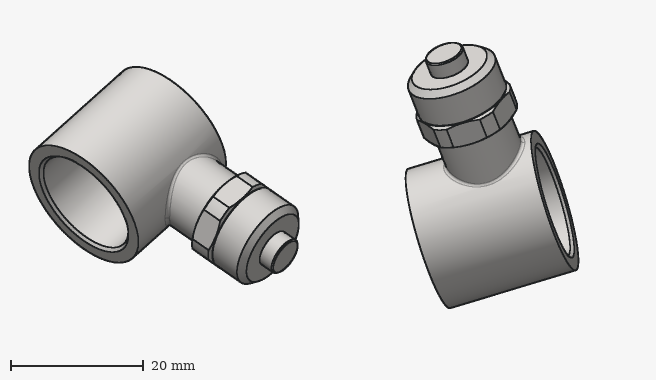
import cadquery as cq
import math

sleeve_diameter = 22.0
sleeve_length = 20.0
bore_diameter = 17.0
bore_chamfer = 0.5

overall_length = 40.5
fitting_offset_y = 2.5
neck_diameter = 12.0
neck_fillet = 0.5
nut_sides = 6
nut_start = 16.93
nut_width = 4.0
nut_across_flats = 14.0
nut_corner_diameter = 15.0
nut_face_diameter = 13.7
nut_chamfer_angle = 30.0
body_diameter = nut_across_flats
body_end = 26.95
body_chamfer = 1.0
tip_diameter = 6.0
tip_end = overall_length - sleeve_diameter / 2
tip_chamfer = 0.2


def fitting_plane(x):
    """Workplane square to the fitting axis at distance x from the sleeve axis."""
    return cq.Workplane("YZ", origin=(x, fitting_offset_y, 0))


def make_sleeve():
    return (
        cq.Workplane("XZ")
        .circle(sleeve_diameter / 2)
        .extrude(sleeve_length / 2, both=True)
    )


def make_neck():
    return fitting_plane(0).circle(neck_diameter / 2).extrude(nut_start)


def make_nut():
    """Hexagon with flats facing +Z and -Z, its corners rounded and end edges coned."""
    across_corners = nut_across_flats / math.cos(math.pi / nut_sides)
    hexagon = fitting_plane(nut_start).polygon(nut_sides, across_corners).extrude(nut_width)
    chamfer_depth = (nut_corner_diameter - nut_face_diameter) / 2
    chamfer_length = chamfer_depth * math.tan(math.radians(nut_chamfer_angle))
    envelope = (
        fitting_plane(nut_start)
        .circle(nut_corner_diameter / 2)
        .extrude(nut_width)
        .faces("<X or >X")
        .chamfer(chamfer_length, chamfer_depth)
    )
    return hexagon.intersect(envelope)


def make_body():
    body_start = nut_start + nut_width
    return (
        fitting_plane(body_start)
        .circle(body_diameter / 2)
        .extrude(body_end - body_start)
        .faces(">X")
        .chamfer(body_chamfer)
    )


def make_tip():
    return (
        fitting_plane(body_end)
        .circle(tip_diameter / 2)
        .extrude(tip_end - body_end)
        .faces(">X")
        .chamfer(tip_chamfer)
    )


def make_bore():
    """Through bore together with the lead-in cones at both of its ends."""
    half_length = sleeve_length / 2
    bore_radius = bore_diameter / 2
    mouth_radius = bore_radius + bore_chamfer
    profile = [
        (0, -half_length),
        (mouth_radius, -half_length),
        (bore_radius, -half_length + bore_chamfer),
        (bore_radius, half_length - bore_chamfer),
        (mouth_radius, half_length),
        (0, half_length),
    ]
    return cq.Workplane("XY").polyline(profile).close().revolve(360, (0, 0, 0), (0, 1, 0))


def make_branch():
    """Sleeve joined to the neck, with a fillet along the curve where they meet."""
    joined = make_sleeve().union(make_neck())
    sleeve_radius = sleeve_diameter / 2
    seam_box = cq.selectors.BoxSelector(
        (sleeve_radius / 2, fitting_offset_y - neck_diameter, -neck_diameter),
        (sleeve_radius, fitting_offset_y + neck_diameter, neck_diameter),
    )
    return joined.edges(seam_box).edges("not %LINE").fillet(neck_fillet)


fitting = make_branch().union(make_nut()).union(make_body()).union(make_tip())
result = fitting.cut(make_bore())